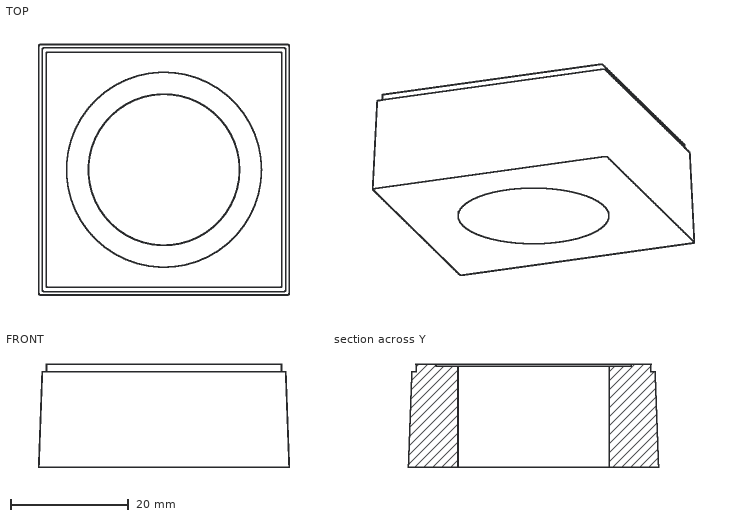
import cadquery as cq
import math

base_side = 42.5
shoulder_side = 41.3
total_height = 17.5
body_corner_radius = 0.35

step_side = 39.85
step_height = 1.28
step_corner_radius = 0.2

bore_diameter = 25.6
recess_diameter = 33.05
recess_depth = 0.35

body_height = total_height - step_height
taper_angle = math.degrees(math.atan((base_side - shoulder_side) / 2 / body_height))


body = (
    cq.Workplane("XY")
    .rect(base_side, base_side)
    .extrude(body_height, taper=taper_angle)
    .edges("not(#Z)")
    .fillet(body_corner_radius)
)

step = (
    cq.Workplane("XY", origin=(0, 0, body_height))
    .rect(step_side, step_side)
    .extrude(step_height)
    .edges("|Z")
    .fillet(step_corner_radius)
)

bore = cq.Workplane("XY").circle(bore_diameter / 2).extrude(total_height)

recess = (
    cq.Workplane("XY", origin=(0, 0, total_height - recess_depth))
    .circle(recess_diameter / 2)
    .extrude(recess_depth)
)

result = body.union(step).cut(bore).cut(recess)